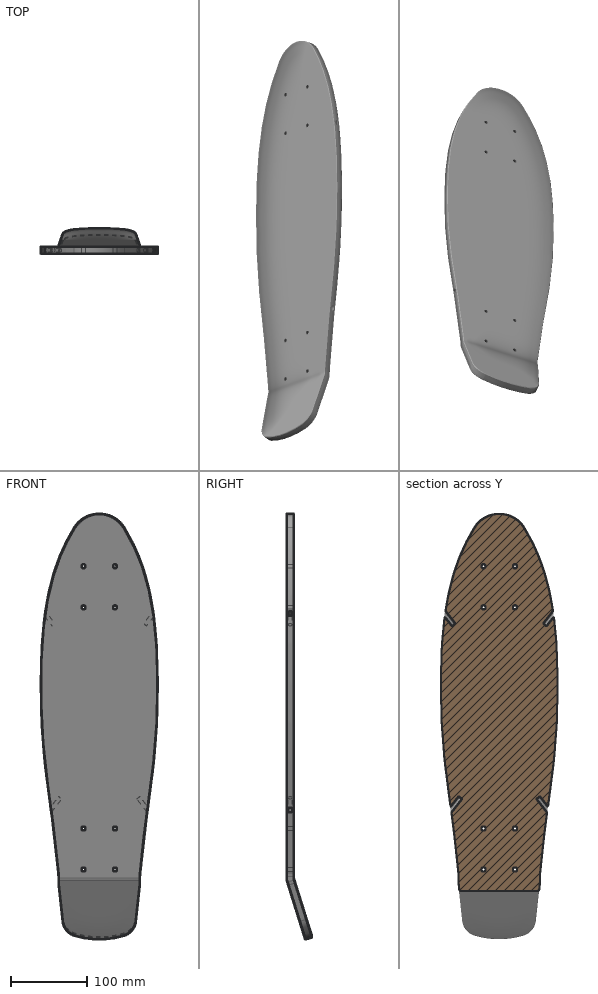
import math

import cadquery as cq

total_length = 558.8
max_width = 153.82
total_depth = 34.13
thickness = 10.0
tail_drop = 79.0
bend_radius = 11.0
rim_chamfer = 0.8

nose_end = (32.9, 18.5)
deck_side = [
    (52.3, 57.0),
    (67.6, 109.3),
    (max_width / 2, 226.5),
    (72.5, 318.5),
    (64.3, 384.0),
]

tail_corner = (46.8, 72.0)
tail_corner_radius = 24.0

bend_half_width = 53.7
bend_straight = 6.0
bend_blend_radius = 40.0

bolt_diameter = 5.0
bolt_spacing_x = 41.275
bolt_spacing_z = 53.975
front_truck_drop = 96.0
rear_truck_drop = 440.0

side_hole_diameter = 5.0
side_hole_angle = 52.0
side_hole_depth = 20.0
upper_side_hole = (72.3, 130.0)
lower_side_hole = (63.5, 388.6)


def tail_length_at(angle):
    """Length of the tail, whose lowest point is where the front bevel meets the end face."""
    return (tail_drop + rim_chamfer * math.sin(angle)) / math.cos(angle)


def depth_at(angle):
    """Depth of the board along Y, out to where the back bevel meets the back of the tail."""
    along_tail = (tail_length_at(angle) - rim_chamfer) * math.sin(angle)
    through_tail = thickness * math.cos(angle)
    return along_tail + through_tail


def solve_tail_angle():
    """Bend angle in radians that gives the board its depth, found by halving the interval."""
    low, high = 0.0, math.pi / 4
    halvings = 60
    for _ in range(halvings):
        middle = (low + high) / 2
        if depth_at(middle) < total_depth:
            low = middle
        else:
            high = middle
    return low


nose_z = total_length - tail_drop
tail_radians = solve_tail_angle()
tail_angle = math.degrees(tail_radians)
tail_length = tail_length_at(tail_radians)
overlap = 3 * thickness
reach = 2 * total_depth


def deck_point(place, side=1):
    """A deck outline point, from its half width and its distance below the nose tip."""
    half_width, drop = place
    return (side * half_width, nose_z - drop)


def tail_point(place, side=1):
    """A tail outline point, from its half width and its distance along the tail."""
    half_width, distance = place
    return (side * half_width, -distance)


def bent_slab():
    """The board's thickness carried around the bend, longer and wider than the board."""
    sine, cosine = math.sin(tail_radians), math.cos(tail_radians)
    slab_top = nose_z + overlap
    slab_tail = tail_length + overlap
    front_tip = (slab_tail * sine, -slab_tail * cosine)
    back_tip = (front_tip[0] + thickness * cosine, front_tip[1] + thickness * sine)
    back_bend = (thickness, thickness * math.tan(tail_radians / 2))
    slab = (
        cq.Workplane("YZ")
        .moveTo(0, slab_top)
        .lineTo(0, 0)
        .lineTo(*front_tip)
        .lineTo(*back_tip)
        .lineTo(*back_bend)
        .lineTo(thickness, slab_top)
        .close()
        .extrude(max_width, both=True)
    )
    for bend_y, bend_z in ((0, 0), back_bend):
        bend_edge = cq.selectors.NearestToPointSelector((0, bend_y, bend_z))
        slab = slab.edges("|X").edges(bend_edge).fillet(bend_radius)
    return slab


def round_outline(prism, corner, radius):
    """Rounds this corner of an outline carried along Y, and its twin on the -X side."""
    x, z = corner
    for side in (-1, 1):
        corner_edge = cq.selectors.NearestToPointSelector((side * x, 0, z))
        prism = prism.edges("|Y").edges(corner_edge).fillet(radius)
    return prism


def deck_prism():
    """Deck outline carried along Y, running on past the bend line."""
    nose_radius = (nose_end[0] ** 2 + nose_end[1] ** 2) / (2 * nose_end[1])
    half_nose_turn = math.asin(nose_end[0] / nose_radius) / 2
    nose_mid = (nose_radius * math.sin(half_nose_turn), nose_radius * (1 - math.cos(half_nose_turn)))
    nose_tangent = (nose_radius - nose_end[1], -nose_end[0])
    tail_tangent = (tail_corner[0] - bend_half_width, bend_straight - tail_corner[1])
    side = [deck_point(place) for place in deck_side]
    side.append((bend_half_width, bend_straight))
    half_outline = (
        cq.Workplane("XZ")
        .moveTo(0, nose_z)
        .threePointArc(deck_point(nose_mid), deck_point(nose_end))
        .spline(side, tangents=[nose_tangent, tail_tangent], includeCurrent=True)
        .vLineTo(-overlap)
        .hLineTo(0)
    )
    prism = half_outline.mirrorY().extrude(reach, both=True)
    return round_outline(prism, (bend_half_width, bend_straight), bend_blend_radius)


def tail_prism():
    """Tail outline carried square to the tail's faces, running on past the bend line."""
    prism = (
        cq.Workplane("XZ")
        .moveTo(-bend_half_width, overlap)
        .hLineTo(bend_half_width)
        .vLineTo(-bend_straight)
        .lineTo(*tail_point(tail_corner))
        .threePointArc((0, -tail_length), tail_point(tail_corner, -1))
        .lineTo(-bend_half_width, -bend_straight)
        .close()
        .extrude(reach, both=True)
    )
    prism = round_outline(prism, tail_point(tail_corner), tail_corner_radius)
    prism = round_outline(prism, (bend_half_width, -bend_straight), bend_blend_radius)
    return prism.rotate((0, 0, 0), (1, 0, 0), tail_angle)


def above_bend():
    """Block above the plane that halves the angle between deck and tail."""
    size = 2 * total_length
    block = cq.Workplane("XY").box(size, size, size, centered=(True, True, False))
    return block.rotate((0, 0, 0), (1, 0, 0), tail_angle / 2)


def rim_edges():
    """Selects the edges around the faces: neither across the board nor through its thickness."""
    selector = cq.StringSyntaxSelector("not |X")
    for angle in (0, tail_radians / 2, tail_radians):
        through = cq.Vector(0, math.cos(angle), math.sin(angle))
        selector = selector - cq.selectors.ParallelDirSelector(through)
    return selector


def board():
    """The bent slab trimmed to the deck outline above the bend and the tail outline below it."""
    upper = above_bend()
    outline = deck_prism().intersect(upper).union(tail_prism().cut(upper))
    return bent_slab().intersect(outline).edges(rim_edges()).chamfer(rim_chamfer)


def bolt_holes(drop):
    """The four bolt holes of the truck centered this far below the nose tip."""
    return (
        cq.Workplane("XZ")
        .center(0, nose_z - drop)
        .rarray(bolt_spacing_x, bolt_spacing_z, 2, 2)
        .circle(bolt_diameter / 2)
        .extrude(reach, both=True)
    )


def side_hole(place, side, slope):
    """Hole from the side edge inward; slope is +1 to climb and -1 to descend."""
    x, z = deck_point(place, side)
    angle = math.radians(side_hole_angle)
    inward = cq.Vector(-side * math.cos(angle), 0, slope * math.sin(angle))
    lead_in = side_hole_diameter
    start = cq.Vector(x, thickness / 2, z) - inward * lead_in
    return cq.Solid.makeCylinder(side_hole_diameter / 2, side_hole_depth + lead_in, start, inward)


result = board()
for truck_drop in (front_truck_drop, rear_truck_drop):
    result = result.cut(bolt_holes(truck_drop))
for side in (-1, 1):
    result = result.cut(side_hole(upper_side_hole, side, -1))
    result = result.cut(side_hole(lower_side_hole, side, 1))